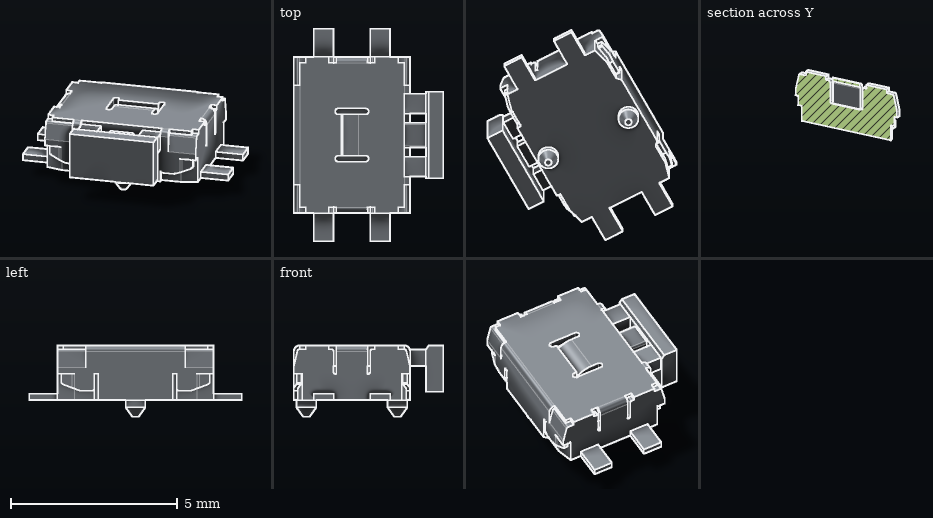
import cadquery as cq
import math

body_x = 3.5
body_y = 4.7
top_z = 1.65
sheet = 0.12
bend_radius = 0.18
small_fillet = 0.06
skirt_z = 0.795

half_x = body_x / 2
half_y = body_y / 2
housing_z = top_z - sheet
inner_x = half_x - sheet
plate_half_x = half_x - bend_radius
bend_y = half_y - bend_radius

taper_z = 1.0
corner_inset = 0.255
bevel_y = 1.85
block_y = 1.25
notch_half_x = 0.55
channel_z = 1.025

side_half_y = 1.49
leg_tip_y = 2.23
leg_shoulder_z = 0.48
leg_bottom_z = 0.29
leg_slope_y = 1.68
leg_corner = 0.04
leg_bend_radius = 0.24
tab_half_x = 0.475
tab_notch_half_x = 0.69
corner_notch = 0.18
slot_length = 1.005
slot_width = 0.18
slot_y = 0.71
strip_right_x = 0.185
strip_left_x = -0.28
strip_slit = 0.045
strip_radius = 0.705
pocket_depth = 0.3

arm_width = 0.6
arm_y = 0.95
rib_half_y = 0.38
rib_z = 1.41
key_left_x = 2.23
key_reach = 1.0
key_right_x = half_x + key_reach
key_half_y = 1.305
key_bottom_z = 0.25
key_chamfer_x = 0.08

terminal_end_y = 3.2
terminal_width = 0.6
terminal_thickness = 0.2
terminal_x = 0.85
pin_diameter = 0.6
pin_tip_diameter = 0.2
pin_x = 1.37
pin_cylinder = 0.22
pin_length = 0.5


def block(x0, x1, y0, y1, z0, z1):
    """Axis-aligned box between two corners."""
    return cq.Workplane("XY").box(x1 - x0, y1 - y0, z1 - z0, centered=False).translate((x0, y0, z0))


def mirrored(shape, plane):
    """The shape joined with its mirror image."""
    return shape.union(shape.mirror(plane))


def make_housing():
    end_x = half_x - corner_inset
    right_side = [(end_x, -half_y), (inner_x, -bevel_y), (inner_x, bevel_y), (end_x, half_y)]
    left_side = [(-x, y) for x, y in reversed(right_side)]
    lower = cq.Workplane("XY").polyline(right_side + left_side).close().extrude(skirt_z)

    middle_plan = [
        (-inner_x, -block_y), (half_x, -block_y), (half_x, block_y),
        (-inner_x, block_y), (-half_x, block_y - sheet), (-half_x, sheet - block_y),
    ]
    middle = cq.Workplane("XY").polyline(middle_plan).close().extrude(skirt_z)

    right_profile = [(half_x, skirt_z), (half_x, taper_z), (inner_x, housing_z)]
    left_profile = [(-x, z) for x, z in reversed(right_profile)]
    upper = (
        cq.Workplane("XZ", origin=(0, half_y, 0))
        .polyline(right_profile + left_profile).close().extrude(body_y)
        .edges("|Y and >Z").fillet(small_fillet)
    )
    return lower.union(middle).union(upper)


def make_end_notches():
    """Recesses behind the end tabs, joined by a channel along the whole housing."""
    notch = block(-notch_half_x, notch_half_x, -half_y, -bend_y, skirt_z, housing_z)
    notch = notch.edges("|Y and <Z").fillet(small_fillet)
    mouth_x = notch_half_x + small_fillet
    mouth = block(-mouth_x, mouth_x, -half_y, -bend_y, housing_z - small_fillet, housing_z)
    for side in (-1, 1):
        rounding = (
            cq.Workplane("XZ", origin=(side * mouth_x, -bend_y, housing_z - small_fillet))
            .circle(small_fillet).extrude(bend_radius)
        )
        mouth = mouth.cut(rounding)
    channel = block(-notch_half_x, notch_half_x, -half_y, half_y, skirt_z, channel_z)
    channel = channel.edges("|Y and <Z").fillet(small_fillet)
    return mirrored(notch.union(mouth), "XZ").union(channel)


def make_cover():
    sides = block(-half_x, half_x, -side_half_y, side_half_y, skirt_z, top_z)
    sides = sides.edges("|Y and >Z").fillet(bend_radius)

    plate = block(-plate_half_x, plate_half_x, -half_y, half_y, housing_z, top_z)
    notch_x = plate_half_x - corner_notch
    for end in (-1, 1):
        edge_y = end * (half_y + bend_y) / 2
        cutter = cq.Workplane("XY", origin=(0, edge_y, housing_z))
        plate = plate.cut(cutter.rect(2 * tab_notch_half_x, bend_radius).extrude(sheet))
        for side in (-1, 1):
            corner_x = side * (plate_half_x + notch_x) / 2
            plate = plate.cut(cutter.center(corner_x, 0).rect(corner_notch, bend_radius).extrude(sheet))
    return sides.union(plate)


def make_tab():
    """End tab: sheet bent down through a right angle."""
    inner_radius = bend_radius - sheet
    centre_z = top_z - bend_radius
    outer_mid = bend_radius * math.sqrt(0.5)
    inner_mid = inner_radius * math.sqrt(0.5)
    return (
        cq.Workplane("YZ", origin=(-tab_half_x, 0, 0))
        .moveTo(bend_y, top_z)
        .threePointArc((bend_y + outer_mid, centre_z + outer_mid), (half_y, centre_z))
        .lineTo(half_y, skirt_z)
        .lineTo(half_y - sheet, skirt_z)
        .lineTo(half_y - sheet, centre_z)
        .threePointArc((bend_y + inner_mid, centre_z + inner_mid), (bend_y, housing_z))
        .close().extrude(2 * tab_half_x)
    )


def make_leg():
    """Cover leg that follows the slanted lower corner of the housing."""
    bend_angle = math.atan2(corner_inset - sheet, half_y - bevel_y)
    tip_inner_x = inner_x - (leg_tip_y - bevel_y) * math.tan(bend_angle)

    def on_bend(angle):
        bend_centre_x = half_x - leg_bend_radius
        return (
            bend_centre_x + leg_bend_radius * math.cos(angle),
            bevel_y + leg_bend_radius * math.sin(angle),
        )

    bend_end = on_bend(bend_angle)
    tip_outer_x = bend_end[0] - (leg_tip_y - bend_end[1]) * math.tan(bend_angle)
    bent_sheet = (
        cq.Workplane("XY")
        .moveTo(inner_x, block_y)
        .lineTo(half_x, block_y)
        .lineTo(half_x, bevel_y)
        .threePointArc(on_bend(bend_angle / 2), bend_end)
        .lineTo(tip_outer_x, leg_tip_y)
        .lineTo(tip_inner_x, leg_tip_y)
        .lineTo(inner_x, bevel_y)
        .close().extrude(skirt_z)
    )
    outline = [
        (block_y, skirt_z), (block_y, leg_bottom_z + leg_corner), (block_y + leg_corner, leg_bottom_z),
        (leg_slope_y, leg_bottom_z), (leg_tip_y - leg_corner, leg_shoulder_z),
        (leg_tip_y, leg_shoulder_z + leg_corner), (leg_tip_y, skirt_z),
    ]
    silhouette = cq.Workplane("YZ").polyline(outline).close().extrude(half_x)
    return bent_sheet.intersect(silhouette)


def make_top_openings():
    """Two slots in the cover and the strip pressed down between them."""
    pocket_z = top_z - pocket_depth
    slots = (
        cq.Workplane("XY", origin=(0, 0, pocket_z))
        .pushPoints([(0, slot_y), (0, -slot_y)])
        .slot2D(slot_length, slot_width).extrude(pocket_depth)
    )

    def on_strip(angle):
        return (
            strip_right_x - strip_radius * math.sin(angle),
            top_z - strip_radius * (1 - math.cos(angle)),
        )

    end_angle = math.asin((strip_right_x - strip_left_x) / strip_radius)
    strip_space = (
        cq.Workplane("XZ", origin=(0, slot_y, 0))
        .moveTo(strip_right_x, top_z)
        .threePointArc(on_strip(end_angle / 2), on_strip(end_angle))
        .lineTo(strip_left_x, pocket_z)
        .lineTo(strip_left_x - strip_slit, pocket_z)
        .lineTo(strip_left_x - strip_slit, top_z)
        .close().extrude(2 * slot_y)
    )
    return slots.union(strip_space)


def make_slider():
    key = (
        cq.Workplane("XZ", origin=(0, key_half_y, 0))
        .moveTo(key_left_x, key_bottom_z)
        .lineTo(key_right_x, key_bottom_z)
        .lineTo(key_right_x, top_z)
        .lineTo(key_left_x + key_chamfer_x, top_z)
        .lineTo(key_left_x, housing_z)
        .close().extrude(2 * key_half_y)
    )
    arm = block(plate_half_x, key_left_x, arm_y - arm_width / 2, arm_y + arm_width / 2, channel_z, housing_z)
    rib = block(plate_half_x, key_left_x, -rib_half_y, rib_half_y, channel_z, rib_z)
    rib = rib.edges("|X and >Z").fillet(small_fillet)
    return key.union(mirrored(arm, "XZ")).union(rib)


def make_pin():
    cone_length = pin_length - pin_cylinder
    return (
        cq.Workplane("XY", origin=(pin_x, 0, 0)).circle(pin_diameter / 2).extrude(-pin_cylinder)
        .faces("<Z").workplane().circle(pin_diameter / 2)
        .workplane(offset=cone_length).circle(pin_tip_diameter / 2).loft()
    )


window = block(plate_half_x, half_x, -block_y, block_y, channel_z, top_z)
terminal = block(
    terminal_x - terminal_width / 2, terminal_x + terminal_width / 2,
    -terminal_end_y, terminal_end_y, 0, terminal_thickness,
)

result = make_housing().union(make_cover())
result = result.cut(make_end_notches()).cut(window).cut(make_top_openings())
result = result.union(mirrored(make_tab(), "XZ"))
result = result.union(mirrored(mirrored(make_leg(), "XZ"), "YZ"))
result = result.union(make_slider())
result = result.union(mirrored(terminal, "YZ"))
result = result.union(mirrored(make_pin(), "YZ"))